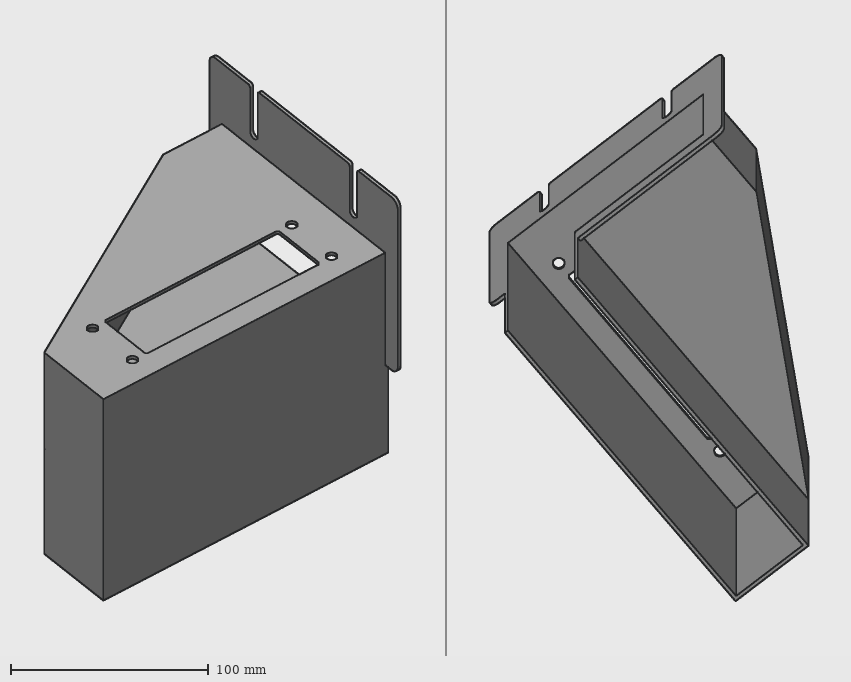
import cadquery as cq

plate_width = 151.0
depth = 185.5
height = 172.5
sheet = 2.0

plate_height = 113.9
plate_corner_radius = 5.0
slot_width = 6.0
slot_spacing = 79.8
slot_depth = 33.0
slot_mouth_radius = 1.7

side_margin = 10.0
chute_width = 47.5
straight_length = 40.3
housing_top = 132.6
duct_bottom = 68.8
housing_left = side_margin
housing_right = plate_width - side_margin
chute_left = housing_right - chute_width

window_width = 33.8
window_length = 113.3
window_corner_radius = 1.5
window_x = 110.0
window_y = 95.9
hole_diameter = 6.0
hole_spacing_x = 31.9
hole_spacing_y = 129.7


def make_plate():
    """Rounded plate with two slots open at its top edge."""
    plate = (
        cq.Workplane("XY")
        .box(plate_width, sheet, plate_height, centered=False)
        .translate((0, depth - sheet, height - plate_height))
        .edges("|Y")
        .fillet(plate_corner_radius)
    )
    slot_end_z = height - slot_depth + slot_width / 2
    for side in (-1, 1):
        slot_x = plate_width / 2 + side * slot_spacing / 2
        slot_left = slot_x - slot_width / 2
        slot_right = slot_x + slot_width / 2
        slot = (
            cq.Workplane("XZ", origin=(0, depth, 0))
            .moveTo(slot_left - slot_mouth_radius, height)
            .radiusArc((slot_left, height - slot_mouth_radius), slot_mouth_radius)
            .lineTo(slot_left, slot_end_z)
            .threePointArc((slot_x, height - slot_depth), (slot_right, slot_end_z))
            .lineTo(slot_right, height - slot_mouth_radius)
            .radiusArc((slot_right + slot_mouth_radius, height), slot_mouth_radius)
            .close()
            .extrude(sheet)
        )
        plate = plate.cut(slot)
    return plate


def make_duct():
    """Solid outer form of the duct, with its left side tapering to the chute."""
    outline = [
        (chute_left, 0),
        (housing_right, 0),
        (housing_right, depth),
        (housing_left, depth),
        (housing_left, depth - straight_length),
    ]
    return (
        cq.Workplane("XY", origin=(0, 0, duct_bottom))
        .polyline(outline)
        .close()
        .extrude(housing_top - duct_bottom)
    )


def make_chute():
    """Solid outer form of the full-height chute."""
    return cq.Workplane("XY").box(chute_width, depth, housing_top, centered=False).translate((chute_left, 0, 0))


def make_cavity():
    """Space inside the sheet walls, open at the back and at the chute bottom."""
    duct_walls = make_duct().faces(">Y").shell(-sheet)
    duct_space = make_duct().cut(duct_walls)
    chute_space = (
        cq.Workplane("XY")
        .box(chute_width - 2 * sheet, depth - sheet, housing_top - sheet, centered=False)
        .translate((chute_left + sheet, sheet, 0))
    )
    return duct_space.union(chute_space)


def make_top_openings():
    """Cutters for the rectangular window and its four screw holes."""
    top_inside = cq.Workplane("XY", origin=(window_x, window_y, housing_top - sheet))
    window = top_inside.rect(window_width, window_length).extrude(sheet)
    window = window.edges("|Z").fillet(window_corner_radius)
    holes = top_inside.rarray(hole_spacing_x, hole_spacing_y, 2, 2).circle(hole_diameter / 2).extrude(sheet)
    return window.union(holes)


result = make_plate().union(make_duct()).union(make_chute()).cut(make_cavity()).cut(make_top_openings())